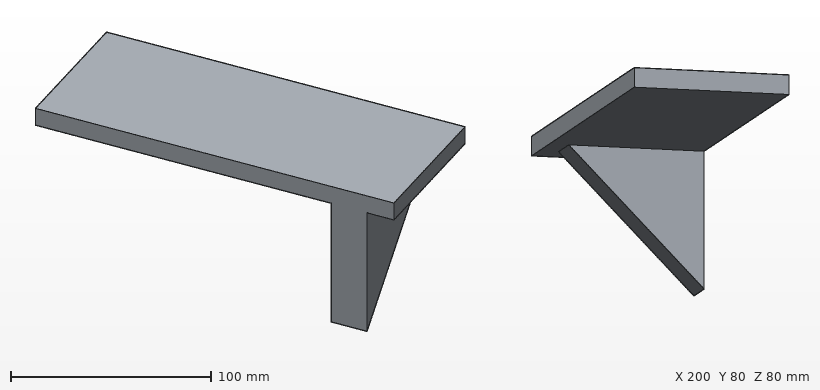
import cadquery as cq

length = 200.0
width = 80.0
plate_thickness = 10.0

total_height = 80.0
bracket_thickness = 20.0
end_overhang = 15.0
bracket_leg = total_height - plate_thickness
bracket_start = length - end_overhang - bracket_thickness


def make_plate():
    """Flat plate with its underside at Z = 0."""
    return cq.Workplane("XY").box(length, width, plate_thickness, centered=False)


def make_bracket():
    """Right triangle with equal legs along the plate and the front face."""
    return (
        cq.Workplane("YZ", origin=(bracket_start, 0, 0))
        .polyline([(0, 0), (bracket_leg, 0), (0, -bracket_leg)])
        .close()
        .extrude(bracket_thickness)
    )


result = make_plate().union(make_bracket())